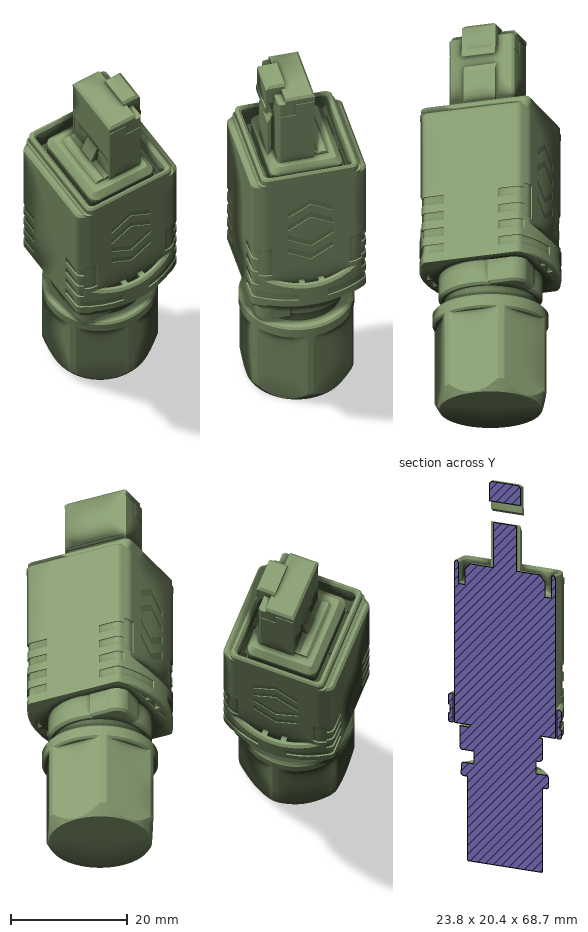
import cadquery as cq
import math

ROOT = 0.7

NUT_FLATS = 17.85
NUT_CORNER_DIA = 20.0
NUT_TOP = 15.5
NUT_CHAMFER_HEIGHT = 2.05
NUT_BOTTOM_DIA = 17.65
COLLAR_BOTTOM = 15.1
COLLAR_TOP = 17.6
COLLAR_CHAMFER = 0.35
NECK_DIA = 15.9
RING_DIA = 17.85
RING_BOTTOM = 19.8
RING_TOP = 24.05
RING_CHAMFER = 0.4
LOBE_FRONT_START = 2.6
LOBE_FRONT_END = 6.05
LOBE_SIDE_START = 3.45
LOBE_SIDE_END = 6.95
LOBE_TIP = 11.7
RELIEF_DIA = 17.2

BASE_LENGTH = 23.8
BODY_DEPTH = 20.4
BODY_WIDTH = 19.9
FLAT_HALF = 8.65
HOUSING_BOTTOM = 24.4
SHOULDER_Z = 51.95
SHOULDER_CHAMFER = 0.4
STEP_DEPTH = 18.15
STEP_TOP = 52.2
RIM_DEPTH = 17.2
RIM_TOP = 53.6
RIM_CHAMFER = 0.35
RIM_CORNER = 1.1
FLAT_EDGE_FILLET = 1.1
SIDE_EDGE_FILLET = 2.05
BASE_CHAMFER = 0.3

GUARD_EDGE_Z = 30.65
GUARD_MID_Z = 29.05
GUARD_CHAMFER = 0.4
GUARD_HALF = 8.25
GUARD_WALL = 0.95
WINDOW_MID_HALF = 1.25
WINDOW_SIDE_START = 2.2
WINDOW_SIDE_END = 5.8

GRIP_DEPTH = 0.24
GRIP_HEIGHT = 1.5
GRIP_PITCH = 2.95
GRIP_LOWEST_Z = 26.05
GRIP_INNER_X = 5.0
GRIP_ROWS = 4
GRIP_END_Y = 9.15
GRIP_LOWEST_END_Y = 2.55
RECESS_START_Y = 6.9
RECESS_BOTTOM_Z = 31.25
RECESS_TOP_Z = 37.3

ARROW_HALF = 4.05
ARROW_RISE = 2.35
ARROW_THICK = 1.25
ARROW_DEPTH = 0.15
ARROW_CENTRE_Z = 40.55
ARROW_TIPS = (7.0, 4.0)

CAVITY_WIDTH = 18.15
CAVITY_DEPTH = 15.4
CAVITY_MOUTH_CHAMFER = 0.4
CAVITY_LEDGE_DEPTH = 14.85
CAVITY_LEDGE_Z = 50.85
CAVITY_FLOOR_DEPTH = 12.9
CAVITY_CORNER = 0.8
CAVITY_FLOOR_Z = 49.5
POCKET_INNER_X = 1.7
POCKET_OUTER_X = 6.7
POCKET_DEPTH = 14.3
ISLAND_WIDTH = 15.8
ISLAND_DEPTH = 12.8
ISLAND_CORNER = 1.5
ISLAND_TOP = 53.3
ISLAND_CHAMFER = 1.0

PLUG_ROOT_Z = ISLAND_TOP - ROOT
PLUG_WIDTH = 11.8
PLUG_FRONT_Y = -1.8
PLUG_BACK_Y = 4.75
PLUG_TOP = 67.8
PLUG_STEP_Y = 3.45
PLUG_STEP_Z = 66.8
PLUG_CHAMFER = 0.4
PANEL_HALF = 5.5
PANEL_EDGE_DROP = 0.1
LINE_TOP_Z = 66.7
LINE_LOW_Z = 64.2
LINE_Y = 2.05
LINE_WIDTH = 0.5
LINE_LOW_WIDTH = 0.3
LINE_DEPTH = 0.1

LATCH_WIDTH = 6.1
LATCH_BACK_Y = 6.2
LATCH_FRONT_Y = 2.8
LATCH_TOP = 68.7
LATCH_CHAMFER = 0.6
LATCH_LIP_Y = 6.4
LATCH_LIP_Z = 64.2
LATCH_LIP_BOTTOM = 62.95
LATCH_SLOT_TOP = 65.15
LATCH_SLOT_Z = 64.65

RAIL_WIDTH = 5.8
RAIL_WEB_WIDTH = 4.7
RAIL_BACK_Y = 5.9
RAIL_WEB_Y = 5.3
RAIL_TOP = 61.4
RAIL_SHOULDER_Z = 60.3

LEAN_TOP_Z = 58.35
LEAN_BOTTOM_Z = 54.4
LEAN_DEPTH = 0.35
LEAN_LINE_Z = 58.8
LEAN_LINE_DEPTH = 0.1
TONGUE_HALF = 1.5
TONGUE_TOP_Y = -1.65
TONGUE_TIP_Y = -2.8
TONGUE_UNDER_Y = -2.3
TONGUE_UNDER_Z = 54.0
SLOT_WIDTH = 0.4
SLOT_TOP = 57.2
SLOT_HALF = 3.45
SLOT_DEPTH = 0.4
FOOT_HALF = 5.4
FOOT_TOP_Z = 54.15
FOOT_FRONT_Y = -3.0

SILL_HALF = 5.4
SILL_BACK_Y = -2.4
SILL_FRONT_Y = -4.25
SILL_CHAMFER = 0.4
SILL_TOP = 53.95


def slab(x0, x1, y0, y1, z0, z1):
    """Axis-aligned block between opposite corners."""
    return cq.Workplane("XY").box(x1 - x0, y1 - y0, z1 - z0, centered=False).translate((x0, y0, z0))


def block(width, depth, z0, z1):
    """Block centred on the Z axis."""
    return slab(-width / 2, width / 2, -depth / 2, depth / 2, z0, z1)


def disc(diameter, z0, z1):
    return cq.Workplane("XY").workplane(offset=z0).circle(diameter / 2).extrude(z1 - z0)


def side_profile(points, half_width):
    """Closed outline of (y, z) points extruded symmetrically along X."""
    return cq.Workplane("YZ").polyline(points).close().extrude(half_width, both=True)


def make_nut():
    corner_dia = NUT_FLATS / math.cos(math.pi / 6)
    hexagon = cq.Workplane("XY").polygon(6, corner_dia).extrude(NUT_TOP)
    bottom_r = NUT_BOTTOM_DIA / 2
    corner_r = NUT_CORNER_DIA / 2
    turned = (
        cq.Workplane("XZ")
        .polyline([(0, 0), (bottom_r, 0), (corner_r, NUT_CHAMFER_HEIGHT), (corner_r, NUT_TOP), (0, NUT_TOP)])
        .close()
        .revolve(360, (0, 0, 0), (0, 1, 0))
    )
    collar = disc(NUT_CORNER_DIA, COLLAR_BOTTOM, COLLAR_TOP).edges().chamfer(COLLAR_CHAMFER)
    return hexagon.intersect(turned).union(collar)


def make_ring():
    """Plain ring with two rounded lobes on opposite diagonals."""
    half = RING_DIA / 2
    tip = LOBE_TIP / math.sqrt(2)
    ring = disc(RING_DIA, RING_BOTTOM, RING_TOP)
    lobe = (
        cq.Workplane("XY")
        .workplane(offset=RING_BOTTOM)
        .lineTo(LOBE_FRONT_START, -half)
        .lineTo(LOBE_FRONT_END, -half)
        .threePointArc((tip, -tip), (half, -LOBE_SIDE_END))
        .lineTo(half, -LOBE_SIDE_START)
        .close()
        .extrude(RING_TOP - RING_BOTTOM)
    )
    ring = ring.union(lobe).union(lobe.rotate((0, 0, 0), (0, 0, 1), 180))
    return ring.faces("<Z").edges().chamfer(RING_CHAMFER)


def bowed_prism(inset, z0, z1):
    """Base outline: flat front and back, bowed left and right, moved inward by inset."""
    half_y = BODY_DEPTH / 2
    half_x = BASE_LENGTH / 2
    outline = (
        cq.Workplane("XY")
        .workplane(offset=z0)
        .moveTo(-FLAT_HALF, half_y)
        .lineTo(FLAT_HALF, half_y)
        .threePointArc((half_x, 0), (FLAT_HALF, -half_y))
        .lineTo(-FLAT_HALF, -half_y)
        .threePointArc((-half_x, 0), (-FLAT_HALF, half_y))
        .close()
    )
    if inset:
        outline = outline.offset2D(-inset)
    return outline.extrude(z1 - z0).edges("|Z").fillet(FLAT_EDGE_FILLET)


def body_prism(inset, z0, z1):
    """Main body section: the base outline trimmed by the two flat sides."""
    trim = block(BODY_WIDTH - 2 * inset, BODY_DEPTH, z0, z1)
    return bowed_prism(inset, z0, z1).intersect(trim).edges("|Z and (>X or <X)").fillet(SIDE_EDGE_FILLET)


def make_body():
    body = body_prism(0, HOUSING_BOTTOM, SHOULDER_Z).faces(">Z").edges("|X").chamfer(SHOULDER_CHAMFER)
    step = block(BODY_WIDTH, STEP_DEPTH, SHOULDER_Z - ROOT, STEP_TOP)
    step = step.edges("|Z").fillet(RIM_CORNER)
    rim = block(BODY_WIDTH, RIM_DEPTH, SHOULDER_Z - ROOT, RIM_TOP)
    rim = rim.edges("|Z").fillet(RIM_CORNER).faces(">Z").edges().chamfer(RIM_CHAMFER)
    return body.union(step).union(rim)


def make_guards():
    """Bowed base whose upper edge dips along an arc, with windows beside the body."""
    base = bowed_prism(0, HOUSING_BOTTOM, GUARD_EDGE_Z)
    base = base.faces("<Z").edges().chamfer(BASE_CHAMFER)
    dip = (
        cq.Workplane("YZ")
        .moveTo(-GUARD_HALF, GUARD_EDGE_Z)
        .threePointArc((0, GUARD_MID_Z), (GUARD_HALF, GUARD_EDGE_Z))
        .close()
        .extrude(BASE_LENGTH, both=True)
    )
    base = base.cut(dip)
    rims = cq.selectors.BoxSelector(
        (-BASE_LENGTH, -FLAT_HALF, HOUSING_BOTTOM + GUARD_WALL),
        (BASE_LENGTH, FLAT_HALF, (GUARD_MID_Z + GUARD_EDGE_Z) / 2),
    )
    base = base.edges(rims).chamfer(GUARD_CHAMFER)
    inner = bowed_prism(GUARD_WALL, HOUSING_BOTTOM, GUARD_EDGE_Z)
    inner = inner.cut(block(BODY_WIDTH, BODY_DEPTH, HOUSING_BOTTOM, GUARD_EDGE_Z))
    spans = [
        (-WINDOW_SIDE_END, -WINDOW_SIDE_START),
        (-WINDOW_MID_HALF, WINDOW_MID_HALF),
        (WINDOW_SIDE_START, WINDOW_SIDE_END),
    ]
    for y0, y1 in spans:
        strip = slab(-BASE_LENGTH, BASE_LENGTH, y0, y1, HOUSING_BOTTOM, GUARD_EDGE_Z)
        base = base.cut(inner.intersect(strip))
    return base


def four_corners(x0, x1, y0, y1, z0, z1):
    """The same block mirrored into all four quadrants."""
    right = slab(x0, x1, y0, y1, z0, z1).union(slab(x0, x1, -y1, -y0, z0, z1))
    return right.union(right.mirror("YZ"))


def cut_grips(housing):
    """Shallow bands cut to a constant depth below the housing surface."""
    body_top = RECESS_TOP_Z
    base_top = GRIP_LOWEST_Z + GRIP_HEIGHT
    base_skin = bowed_prism(0, GRIP_LOWEST_Z, base_top).cut(bowed_prism(GRIP_DEPTH, GRIP_LOWEST_Z, base_top))
    body_skin = body_prism(0, base_top, body_top).cut(body_prism(GRIP_DEPTH, base_top, body_top))
    for row in range(GRIP_ROWS):
        z0 = GRIP_LOWEST_Z + row * GRIP_PITCH
        skin = base_skin if row == 0 else body_skin
        end_y = GRIP_LOWEST_END_Y if row == 0 else GRIP_END_Y
        zone = four_corners(GRIP_INNER_X, BASE_LENGTH, end_y, BODY_DEPTH, z0, z0 + GRIP_HEIGHT)
        housing = housing.cut(skin.intersect(zone))
    recess = four_corners(
        GRIP_INNER_X, BASE_LENGTH, RECESS_START_Y, GRIP_END_Y, RECESS_BOTTOM_Z, RECESS_TOP_Z
    )
    return housing.cut(body_skin.intersect(recess))


def cut_arrows(housing):
    """Two arrows pointing up and two pointing down on each flat side."""
    core = block(BODY_WIDTH - 2 * ARROW_DEPTH, BODY_DEPTH, HOUSING_BOTTOM, RIM_TOP)
    for tip in ARROW_TIPS:
        for direction in (1, -1):
            profile = [
                (-ARROW_HALF, tip - ARROW_RISE),
                (0, tip),
                (ARROW_HALF, tip - ARROW_RISE),
                (ARROW_HALF, tip - ARROW_RISE - ARROW_THICK),
                (0, tip - ARROW_THICK),
                (-ARROW_HALF, tip - ARROW_RISE - ARROW_THICK),
            ]
            points = [(y, ARROW_CENTRE_Z + direction * z) for y, z in profile]
            housing = housing.cut(side_profile(points, BODY_WIDTH).cut(core))
    return housing


def cut_cavity(housing):
    """Opening whose front and back walls lean inward down to the floor."""
    top_half = CAVITY_DEPTH / 2
    ledge_half = CAVITY_LEDGE_DEPTH / 2
    floor_half = CAVITY_FLOOR_DEPTH / 2
    points = [
        (-floor_half, CAVITY_FLOOR_Z),
        (floor_half, CAVITY_FLOOR_Z),
        (ledge_half, CAVITY_LEDGE_Z),
        (top_half, RIM_TOP),
        (-top_half, RIM_TOP),
        (-ledge_half, CAVITY_LEDGE_Z),
    ]
    rounded = block(CAVITY_WIDTH, CAVITY_DEPTH, CAVITY_FLOOR_Z, RIM_TOP).edges("|Z").fillet(CAVITY_CORNER)
    cavity = side_profile(points, CAVITY_WIDTH / 2).intersect(rounded)
    pocket_start = ISLAND_DEPTH / 2
    pocket_end = POCKET_DEPTH / 2
    pockets = four_corners(
        POCKET_INNER_X, POCKET_OUTER_X, pocket_start, pocket_end, CAVITY_FLOOR_Z, CAVITY_LEDGE_Z
    )
    mouth_width = CAVITY_WIDTH + 2 * CAVITY_MOUTH_CHAMFER
    mouth_depth = CAVITY_DEPTH + 2 * CAVITY_MOUTH_CHAMFER
    mouth = block(mouth_width, mouth_depth, RIM_TOP - CAVITY_MOUTH_CHAMFER, RIM_TOP + CAVITY_MOUTH_CHAMFER)
    mouth = mouth.edges("|Z").fillet(CAVITY_CORNER + CAVITY_MOUTH_CHAMFER)
    mouth = mouth.faces("<Z").edges().chamfer(CAVITY_MOUTH_CHAMFER)
    return housing.cut(cavity).cut(pockets).cut(mouth)


def make_island():
    island = block(ISLAND_WIDTH, ISLAND_DEPTH, CAVITY_FLOOR_Z - ROOT, ISLAND_TOP)
    island = island.edges("|Z").fillet(ISLAND_CORNER)
    return island.faces(">Z").edges().chamfer(ISLAND_CHAMFER)


def make_plug():
    half = PLUG_WIDTH / 2
    plug = slab(-half, half, PLUG_FRONT_Y, PLUG_BACK_Y, PLUG_ROOT_Z, PLUG_TOP)
    plug = plug.edges("|Z and >Y").chamfer(PLUG_CHAMFER)
    plug = plug.cut(slab(-half, half, PLUG_STEP_Y, PLUG_BACK_Y, PLUG_STEP_Z, PLUG_TOP))
    plug = plug.faces(">Z").edges("not >Y").chamfer(PLUG_CHAMFER)
    corner = (
        cq.Workplane("XY")
        .workplane(offset=PLUG_ROOT_Z)
        .polyline([(PANEL_HALF, PLUG_FRONT_Y), (half, PLUG_FRONT_Y), (half, PLUG_FRONT_Y + PANEL_EDGE_DROP)])
        .close()
        .extrude(LINE_TOP_Z - LINE_WIDTH - PLUG_ROOT_Z)
    )
    plug = plug.cut(corner).cut(corner.mirror("YZ"))
    outer_line = [
        (PLUG_FRONT_Y, LINE_TOP_Z),
        (LINE_Y, LINE_TOP_Z),
        (LINE_Y, LINE_LOW_Z),
        (PLUG_BACK_Y, LINE_LOW_Z),
        (PLUG_BACK_Y, LINE_LOW_Z - LINE_LOW_WIDTH),
        (LINE_Y - LINE_WIDTH, LINE_LOW_Z - LINE_LOW_WIDTH),
        (LINE_Y - LINE_WIDTH, LINE_TOP_Z - LINE_WIDTH),
        (PLUG_FRONT_Y, LINE_TOP_Z - LINE_WIDTH),
    ]
    core = block(PLUG_WIDTH - 2 * LINE_DEPTH, BODY_DEPTH, PLUG_ROOT_Z, PLUG_TOP)
    return plug.cut(side_profile(outer_line, half).cut(core))


def make_latch():
    slot_back_y = PLUG_BACK_Y + 2 * (LATCH_SLOT_TOP - LATCH_SLOT_Z)
    slot_mid_y = (PLUG_BACK_Y + slot_back_y) / 2
    return (
        cq.Workplane("YZ")
        .moveTo(LATCH_FRONT_Y, PLUG_STEP_Z)
        .lineTo(LATCH_FRONT_Y, LATCH_TOP)
        .lineTo(LATCH_BACK_Y - LATCH_CHAMFER, LATCH_TOP)
        .lineTo(LATCH_BACK_Y, LATCH_TOP - LATCH_CHAMFER)
        .lineTo(LATCH_BACK_Y, LATCH_LIP_Z)
        .lineTo(LATCH_LIP_Y, LATCH_LIP_Z)
        .lineTo(LATCH_LIP_Y, LATCH_LIP_BOTTOM)
        .lineTo(slot_back_y, LATCH_LIP_Z - LATCH_CHAMFER)
        .lineTo(slot_back_y, LATCH_SLOT_Z)
        .threePointArc((slot_mid_y, LATCH_SLOT_TOP), (PLUG_BACK_Y, LATCH_SLOT_Z))
        .lineTo(PLUG_BACK_Y, PLUG_STEP_Z)
        .close()
        .extrude(LATCH_WIDTH / 2, both=True)
        .faces(">Z")
        .edges("|Y")
        .chamfer(PLUG_CHAMFER)
    )


def make_rail():
    """T-section rail on the back of the plug with a sloped upper end."""
    points = [
        (RAIL_WEB_Y, PLUG_ROOT_Z),
        (RAIL_BACK_Y, PLUG_ROOT_Z),
        (RAIL_BACK_Y, RAIL_SHOULDER_Z),
        (RAIL_WEB_Y, RAIL_TOP),
    ]
    flange = side_profile(points, RAIL_WIDTH / 2)
    half = RAIL_WEB_WIDTH / 2
    return flange.union(slab(-half, half, PLUG_BACK_Y, RAIL_WEB_Y, PLUG_ROOT_Z, RAIL_TOP))


def cut_panel(plug):
    """Panel leaning back from its foot, with a T of slots around the tongue."""
    line_back = PLUG_FRONT_Y + LEAN_LINE_DEPTH
    plug = plug.cut(slab(-PANEL_HALF, PANEL_HALF, PLUG_FRONT_Y, line_back, LEAN_TOP_Z, LEAN_LINE_Z))
    sunk_y = PLUG_FRONT_Y + LEAN_DEPTH
    lean = [(PLUG_FRONT_Y, LEAN_TOP_Z), (sunk_y, LEAN_TOP_Z), (PLUG_FRONT_Y, LEAN_BOTTOM_Z)]
    plug = plug.cut(side_profile(lean, PANEL_HALF))
    slot_back = sunk_y + SLOT_DEPTH
    arm_z = SLOT_TOP - SLOT_WIDTH
    stem = slab(TONGUE_HALF, TONGUE_HALF + SLOT_WIDTH, PLUG_FRONT_Y, slot_back, TONGUE_UNDER_Z, SLOT_TOP)
    arm = slab(TONGUE_HALF, SLOT_HALF, PLUG_FRONT_Y, slot_back, arm_z, SLOT_TOP)
    slots = stem.union(arm)
    return plug.cut(slots).cut(slots.mirror("YZ"))


def make_tongue():
    """Leaning tongue between the slots, standing proud of the panel."""
    points = [
        (PLUG_FRONT_Y + LEAN_DEPTH, SLOT_TOP),
        (TONGUE_TOP_Y, SLOT_TOP),
        (TONGUE_TIP_Y, LEAN_BOTTOM_Z),
        (TONGUE_UNDER_Y, TONGUE_UNDER_Z),
        (PLUG_FRONT_Y + LEAN_DEPTH, LEAN_BOTTOM_Z),
    ]
    return side_profile(points, TONGUE_HALF)


def make_foot():
    """Sloped foot running from the panel down to the island."""
    points = [
        (PLUG_FRONT_Y, FOOT_TOP_Z),
        (FOOT_FRONT_Y, ISLAND_TOP),
        (FOOT_FRONT_Y, PLUG_ROOT_Z),
        (PLUG_FRONT_Y, PLUG_ROOT_Z),
    ]
    return side_profile(points, FOOT_HALF)


def make_sill():
    points = [
        (SILL_BACK_Y, PLUG_ROOT_Z),
        (SILL_BACK_Y, SILL_TOP - SILL_CHAMFER),
        (SILL_BACK_Y - SILL_CHAMFER, SILL_TOP),
        (SILL_FRONT_Y + SILL_CHAMFER, SILL_TOP),
        (SILL_FRONT_Y, SILL_TOP - SILL_CHAMFER),
        (SILL_FRONT_Y, PLUG_ROOT_Z),
    ]
    return side_profile(points, SILL_HALF)


gland = make_nut()
gland = gland.union(disc(NECK_DIA, COLLAR_BOTTOM, RING_TOP))
gland = gland.union(make_ring())
gland = gland.union(disc(RELIEF_DIA, RING_BOTTOM + RING_CHAMFER, HOUSING_BOTTOM + ROOT))

housing = make_body().union(make_guards())
housing = cut_grips(housing)
housing = cut_arrows(housing)
housing = cut_cavity(housing)

plug = cut_panel(make_plug())

result = gland.union(housing).union(make_island()).union(plug)
for feature in (make_latch(), make_rail(), make_tongue(), make_foot(), make_sill()):
    result = result.union(feature)